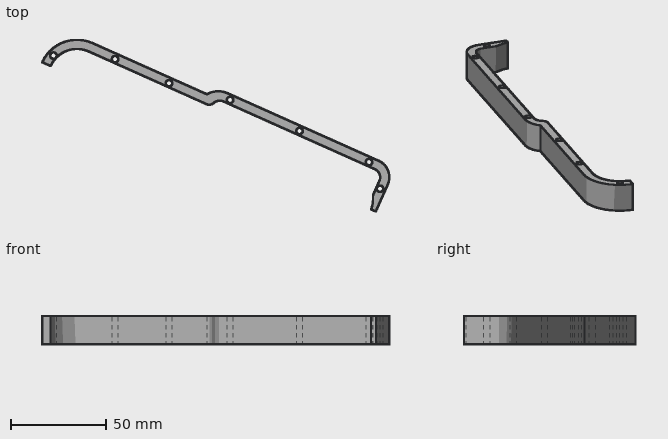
import cadquery as cq
import math

tilt = 24.1
height = 15.0
thickness = 5.0
length = 191.7

left_outer_radius = 20.0
left_inner_radius = left_outer_radius - thickness

left_top = left_outer_radius
left_bottom = left_top - thickness
right_bottom = left_top
right_top = right_bottom + thickness

joggle_end = 95.3
joggle_outer_radius = 11.8
joggle_inner_radius = 5.0
joggle_fillet = 3.3

right_outer_radius = 9.5
right_inner_radius = right_outer_radius - thickness
right_center_u = length - right_outer_radius
leg_inner_u = length - thickness
right_center_v = right_top - right_outer_radius
taper_start_v = 7.0
tip_width = 2.7
taper_hollow = 0.45
taper_fillet = 3.3

hole_diameter = 3.3
left_hole_v = 17.1
right_hole_v = 22.2
hole_centers = [
    (4.0, 5.6),
    (34.3, left_hole_v),
    (65.2, left_hole_v),
    (98.0, right_hole_v),
    (138.0, right_hole_v),
    (177.9, right_hole_v),
    (188.8, 11.8),
]


def arc_point(center_u, center_v, radius, angle):
    """Point on a circle at an angle in degrees from +U."""
    turn = math.radians(angle)
    return center_u + radius * math.cos(turn), center_v + radius * math.sin(turn)


def joggle_arc(top_v, start_v, radius):
    """Start and middle points of an arc rising to meet a bar edge at joggle_end."""
    center_v = top_v - radius
    start_angle = 180 - math.degrees(math.asin((start_v - center_v) / radius))
    start = arc_point(joggle_end, center_v, radius, start_angle)
    middle = arc_point(joggle_end, center_v, radius, (start_angle + 90) / 2)
    return start, middle


def make_strip():
    outer_start, outer_middle = joggle_arc(right_top, left_top, joggle_outer_radius)
    inner_start, inner_middle = joggle_arc(right_bottom, left_bottom, joggle_inner_radius)
    taper_middle_u = (leg_inner_u + length - tip_width) / 2 + taper_hollow
    strip = (
        cq.Workplane("XY")
        .moveTo(0, 0)
        .threePointArc(arc_point(left_outer_radius, 0, left_outer_radius, 135), (left_outer_radius, left_top))
        .lineTo(*outer_start)
        .threePointArc(outer_middle, (joggle_end, right_top))
        .lineTo(right_center_u, right_top)
        .threePointArc(
            arc_point(right_center_u, right_center_v, right_outer_radius, 45), (length, right_center_v)
        )
        .lineTo(length, 0)
        .lineTo(length - tip_width, 0)
        .threePointArc((taper_middle_u, taper_start_v / 2), (leg_inner_u, taper_start_v))
        .lineTo(leg_inner_u, right_center_v)
        .threePointArc(
            arc_point(right_center_u, right_center_v, right_inner_radius, 45), (right_center_u, right_bottom)
        )
        .lineTo(joggle_end, right_bottom)
        .threePointArc(inner_middle, inner_start)
        .lineTo(left_outer_radius, left_bottom)
        .threePointArc(arc_point(left_outer_radius, 0, left_inner_radius, 135), (thickness, 0))
        .close()
        .extrude(height)
    )
    mid_height = height / 2
    joggle_corner = cq.selectors.NearestToPointSelector((*inner_start, mid_height))
    taper_corner = cq.selectors.NearestToPointSelector((leg_inner_u, taper_start_v, mid_height))
    strip = strip.edges(joggle_corner).fillet(joggle_fillet)
    return strip.edges(taper_corner).fillet(taper_fillet)


def make_holes():
    return cq.Workplane("XY").pushPoints(hole_centers).circle(hole_diameter / 2).extrude(height)


result = make_strip().cut(make_holes()).rotate((0, 0, 0), (0, 0, 1), -tilt)